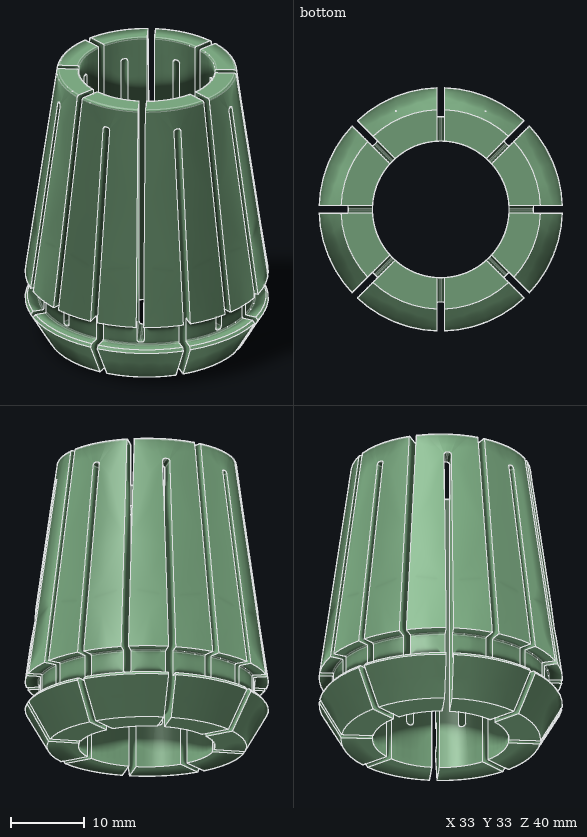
import cadquery as cq
import math

length = 40.0
max_radius = 16.5
bore_radius = 18.5 / 2

nut_cone_height = 5.15
nut_cone_angle = 30.0
flange_chamfer_height = 0.4
flange_chamfer_depth = 0.3
groove_corner_radius = 0.15
groove_radius = 14.6
groove_top = 9.1

cone_angle = 8.0
end_rounding = 0.3
bore_rounding = 0.2

slot_width = 1.0
slot_corner_radius = 0.4
slots_per_end = 8
lower_slot_end = 37.05
upper_slot_end = 5.9

flange_top = nut_cone_height + flange_chamfer_height
nut_end_radius = max_radius - nut_cone_height * math.tan(math.radians(nut_cone_angle))
clamp_end_radius = max_radius - (length - groove_top) * math.tan(math.radians(cone_angle))
slot_pitch = 360.0 / slots_per_end


def round_circle(body, circle_radius, height, fillet_radius):
    """Fillet the circular edge of the given radius and height."""
    circles = body.edges("%CIRCLE").filter(
        lambda edge: math.isclose(edge.radius(), circle_radius, abs_tol=0.0005)
        and math.isclose(edge.Center().z, height, abs_tol=0.0005)
    )
    return circles.fillet(fillet_radius)


def make_body():
    """Revolved collet wall: bore, nut cone, groove and clamping cone."""
    profile = [
        (bore_radius, 0),
        (nut_end_radius, 0),
        (max_radius, nut_cone_height),
        (max_radius - flange_chamfer_depth, flange_top),
        (groove_radius, flange_top),
        (groove_radius, groove_top),
        (max_radius, groove_top),
        (clamp_end_radius, length),
        (bore_radius, length),
    ]
    body = cq.Workplane("XZ").polyline(profile).close().revolve(360, (0, 0), (0, 1))
    body = round_circle(body, groove_radius, flange_top, groove_corner_radius)
    body = round_circle(body, groove_radius, groove_top, groove_corner_radius)
    body = round_circle(body, bore_radius, length, bore_rounding)
    return round_circle(body, clamp_end_radius, length, end_rounding)


def make_slot(open_end, round_end, angle):
    """Radial cutter on one side of the axis, open at one end, with rounded corners at the other."""
    reach = max_radius + slot_width
    cutter = (
        cq.Workplane("XY")
        .box(slot_width, reach, abs(open_end - round_end), centered=(True, False, False))
        .translate((0, -reach, min(open_end, round_end)))
        .edges("|Y")
        .edges("<Z" if round_end < open_end else ">Z")
        .fillet(slot_corner_radius)
    )
    return cutter.rotate((0, 0, 0), (0, 0, 1), angle)


result = make_body()
for index in range(slots_per_end):
    lower_angle = index * slot_pitch
    upper_angle = lower_angle + slot_pitch / 2
    result = result.cut(make_slot(0, lower_slot_end, lower_angle))
    result = result.cut(make_slot(length, upper_slot_end, upper_angle))